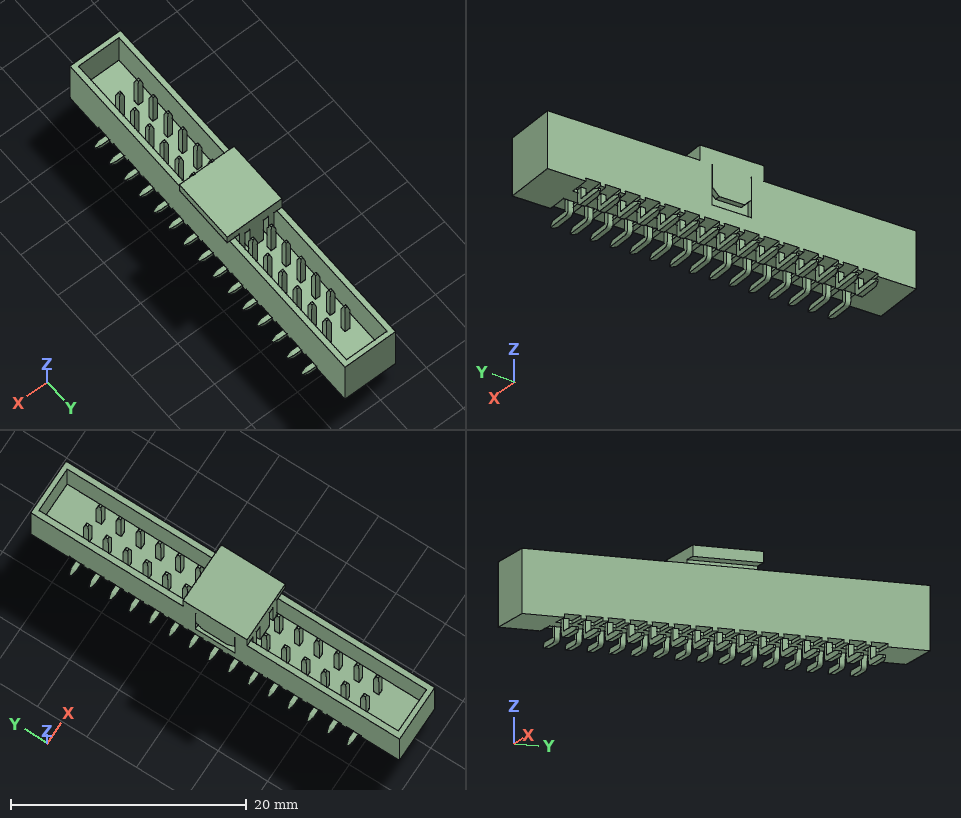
import cadquery as cq

overall_width = 7.5
overall_height = 8.55

body_length = 37.25
body_width = 5.5
body_bottom = 1.35
body_height = 5.7
body_top = body_bottom + body_height
side_wall = 0.55
end_wall = 0.5
floor_top = 3.05
cavity_width = body_width - 2 * side_wall
cavity_length = body_length - 2 * end_wall

pins_per_row = 15
row_length = 28.0
pitch = row_length / (pins_per_row - 1)
row_offset = 1.0
pin_size = 0.52
pin_top = 6.9
tip_length = 0.55
tip_size = 0.22
bend_radius = 0.45

notch_length = 1.5
notch_height = 0.3
notch_depth = body_width / 2 - row_offset + pin_size / 2

cap_length = 6.5
lid_right = 3.2
lid_thickness = 1.0
plug_half_width = 1.85
plug_bottom = 3.58
plug_slot_width = 0.55
window_length = 4.0
tongue_gap = 0.05
tongue_length = window_length - 2 * tongue_gap
tongue_bottom = 4.1
tongue_chamfer = 0.67

pin_positions = [i * pitch - row_length / 2 for i in range(pins_per_row)]


def block(x_range, y_range, z_range):
    """Axis-aligned box spanning the given (low, high) ranges."""
    x_low, x_high = x_range
    y_low, y_high = y_range
    z_low, z_high = z_range
    return cq.Workplane("XY").box(
        x_high - x_low, y_high - y_low, z_high - z_low, centered=False
    ).translate((x_low, y_low, z_low))


def centred(length):
    """Range of the given length centred on zero."""
    return (-length / 2, length / 2)


def make_shroud():
    """Box with its cavity, tongue window and relief notches."""
    shroud = block(centred(body_width), centred(body_length), (body_bottom, body_top))
    shroud = shroud.cut(block(centred(cavity_width), centred(cavity_length), (floor_top, body_top)))
    shroud = shroud.cut(
        block((-body_width / 2, -cavity_width / 2), centred(window_length), (floor_top, body_top))
    )
    notch = block(
        (-body_width / 2, -body_width / 2 + notch_depth),
        centred(notch_length),
        (body_bottom, body_bottom + notch_height),
    )
    notch_pair = notch.union(notch.mirror("YZ"))
    for y in pin_positions:
        shroud = shroud.cut(notch_pair.translate((0, y, 0)))
    return shroud


def make_cap():
    """Lid with a slotted plug inside the shroud and a tongue hanging in the window."""
    lid = block(
        (-body_width / 2, lid_right), centred(cap_length), (overall_height - lid_thickness, overall_height)
    )
    neck = block(
        (-body_width / 2, plug_half_width), centred(cap_length), (body_top, overall_height)
    )
    plug = block(centred(2 * plug_half_width), centred(cap_length), (plug_bottom, body_top))
    for x in (-row_offset, row_offset):
        slot = block(centred(plug_slot_width), centred(cap_length), (plug_bottom, body_top))
        plug = plug.cut(slot.translate((x, 0, 0)))
    tongue = block(
        (-body_width / 2, -cavity_width / 2), centred(tongue_length), (tongue_bottom, body_top)
    ).edges("|X and <Z").chamfer(tongue_chamfer)
    return lid.union(neck).union(plug).union(tongue)


def make_tip(plane):
    """Blunt pyramid pointing along the normal of the plane it stands on."""
    return (
        cq.Workplane(plane)
        .rect(pin_size, pin_size)
        .workplane(offset=tip_length)
        .rect(tip_size, tip_size)
        .loft(ruled=True)
    )


def make_pin():
    """Left-row pin at Y = 0: upright post, rounded outer bend, foot pointing to -X."""
    leg_outer = -row_offset - pin_size / 2
    leg_inner = -row_offset + pin_size / 2
    foot_end = -overall_width / 2 + tip_length
    post_top = pin_top - tip_length
    post = block((leg_outer, leg_inner), centred(pin_size), (0, post_top))
    post = post.edges("|Y and >X and <Z").fillet(bend_radius)
    foot = block((foot_end, leg_outer), centred(pin_size), (0, pin_size))
    post_tip = make_tip(cq.Plane((-row_offset, 0, post_top)))
    foot_tip = make_tip(cq.Plane((foot_end, 0, pin_size / 2), xDir=(0, 1, 0), normal=(-1, 0, 0)))
    return post.union(foot).union(post_tip).union(foot_tip)


result = make_shroud().union(make_cap())
pin = make_pin()
pin_pair = pin.union(pin.mirror("YZ"))
for y_position in pin_positions:
    result = result.union(pin_pair.translate((0, y_position, 0)))